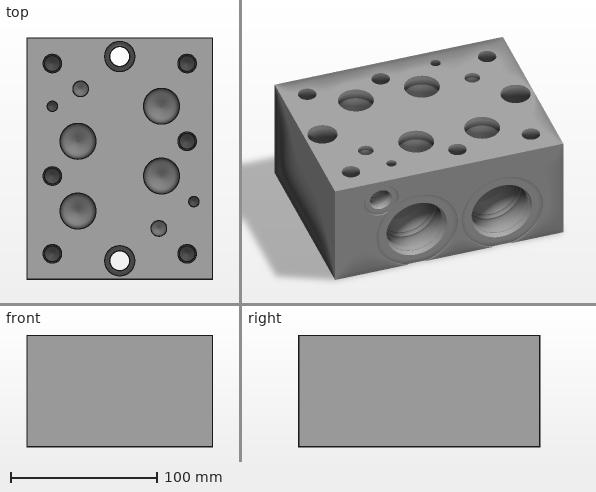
import cadquery as cq
import math

LENGTH_X = 127.0
LENGTH_Y = 165.1
HEIGHT = 76.3
PORT_FACE_X = -LENGTH_X / 2

POINT_HALF_ANGLE = math.radians(59)
FLARE_ANGLE = math.radians(15)

BOLT_X = 46.0
BOLT_CORNER_Y = 65.0
VALVE_ROW_Y = 11.9
BOLT_THREAD_DIAMETER = 12.7
BOLT_DRILL_DIAMETER = 10.7
BOLT_THREAD_DEPTH = 19.8
BOLT_DRILL_DEPTH = 24.8

PASSAGE_X = 28.5
PASSAGE_OUTER_Y = 35.8
PASSAGE_DIAMETER = 24.6
PASSAGE_DEPTH = 7.5

PILOT_X = 26.7
PILOT_Y = 47.7
PILOT_DIAMETER = 10.7
PILOT_DEPTH = 3.6

PIN_X = 50.7
PIN_Y = -29.4
PIN_POINTS = [(-BOLT_X, PASSAGE_OUTER_Y), (PIN_X, PIN_Y)]
PIN_DIAMETER = 7.1
PIN_DEPTH = 8.3

MOUNT_Y = 69.8
MOUNT_DIAMETER = 13.5
MOUNT_BORE_DIAMETER = 20.6
MOUNT_BORE_DEPTH = 16.5

SPOTFACE_DEPTH = 0.8
MAIN_PORT_YS = [23.3, -38.3]
MAIN_PORT_Z = 28.5
PILOT_PORT_Y = 49.2
PILOT_PORT_Z = 60.3


def opposite_pairs(points):
    """Each point together with its half-turn image about the Z axis."""
    return points + [(-x, -y) for x, y in points]


def stepped_hole(steps):
    """Solid of revolution going down from the XY plane and ending in a drill point.

    Each step is (start diameter, end diameter, end depth).
    """
    profile = cq.Workplane("XZ").moveTo(0, 0)
    depth = 0
    for start_diameter, end_diameter, end_depth in steps:
        profile = profile.lineTo(start_diameter / 2, -depth)
        profile = profile.lineTo(end_diameter / 2, -end_depth)
        depth = end_depth
    point_length = end_diameter / 2 / math.tan(POINT_HALF_ANGLE)
    profile = profile.lineTo(0, -depth - point_length).close()
    return profile.revolve(360, (0, 0, 0), (0, 1, 0))


def drilled_hole(diameter, depth):
    return stepped_hole([(diameter, diameter, depth)])


def cut_from_top(body, hole, points):
    for x, y in points:
        body = body.cut(hole.translate((x, y, HEIGHT)))
    return body


def port_cutter(
    spotface, mouth, flare_end, thread, thread_depth,
    minor, minor_depth, drill, drill_depth,
):
    """Spotfaced port with a conical seal seat, thread and tap drill; depths run from the -X face."""
    flare_depth = SPOTFACE_DEPTH + (mouth - flare_end) / 2 / math.tan(FLARE_ANGLE)
    port = stepped_hole([
        (spotface, spotface, SPOTFACE_DEPTH),
        (mouth, flare_end, flare_depth),
        (thread, thread, thread_depth),
        (minor, minor, minor_depth),
        (drill, drill, drill_depth),
    ])
    return port.rotate((0, 0, 0), (0, 1, 0), -90)


block = cq.Workplane("XY").box(LENGTH_X, LENGTH_Y, HEIGHT, centered=(True, True, False))

bolt_points = opposite_pairs([
    (BOLT_X, BOLT_CORNER_Y),
    (BOLT_X, -BOLT_CORNER_Y),
    (BOLT_X, VALVE_ROW_Y),
])
bolt_hole = stepped_hole([
    (BOLT_THREAD_DIAMETER, BOLT_THREAD_DIAMETER, BOLT_THREAD_DEPTH),
    (BOLT_DRILL_DIAMETER, BOLT_DRILL_DIAMETER, BOLT_DRILL_DEPTH),
])
block = cut_from_top(block, bolt_hole, bolt_points)

passage_points = opposite_pairs([(PASSAGE_X, PASSAGE_OUTER_Y), (PASSAGE_X, -VALVE_ROW_Y)])
pilot_points = opposite_pairs([(-PILOT_X, PILOT_Y)])
block = cut_from_top(block, drilled_hole(PASSAGE_DIAMETER, PASSAGE_DEPTH), passage_points)
block = cut_from_top(block, drilled_hole(PILOT_DIAMETER, PILOT_DEPTH), pilot_points)
block = cut_from_top(block, drilled_hole(PIN_DIAMETER, PIN_DEPTH), PIN_POINTS)

block = (
    block.faces(">Z").workplane(origin=(0, 0, HEIGHT))
    .pushPoints([(0, MOUNT_Y), (0, -MOUNT_Y)])
    .cboreHole(MOUNT_DIAMETER, MOUNT_BORE_DIAMETER, MOUNT_BORE_DEPTH)
)

main_port = port_cutter(
    spotface=58.6, mouth=43.8, flare_end=41.8,
    thread=41.3, thread_depth=20.0,
    minor=39.3, minor_depth=24.0,
    drill=38.1, drill_depth=39.6,
)
for port_y in MAIN_PORT_YS:
    block = block.cut(main_port.translate((PORT_FACE_X, port_y, MAIN_PORT_Z)))

pilot_port = port_cutter(
    spotface=25.1, mouth=15.8, flare_end=14.5,
    thread=14.2, thread_depth=13.2,
    minor=12.9, minor_depth=15.7,
    drill=12.2, drill_depth=19.8,
)
block = block.cut(pilot_port.translate((PORT_FACE_X, PILOT_PORT_Y, PILOT_PORT_Z)))

result = block